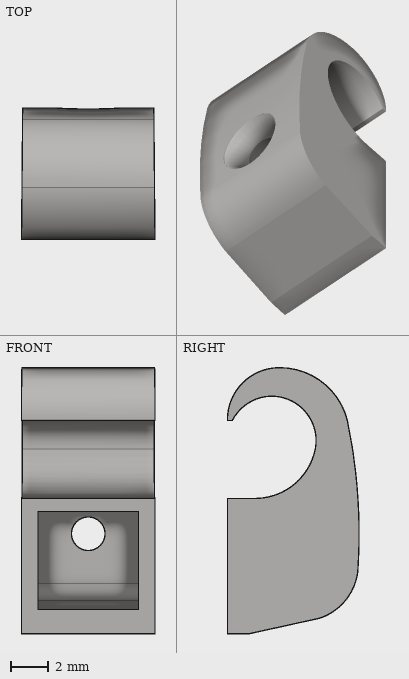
import cadquery as cq
import math

width = 7.2
height = 14.35
depth = 7.1
side_draft = 0.5

clearance = 0.15

base_flat = 1.16
base_slope_end = (4.95, 0.83)
heel_middle = (6.39, 1.82)
back_start = (7.03, 3.33)
back_fullest_height = 5.45

crown_back_radius = 3.77
crown_front_radius = 2.81
back_end_height = 11.48
tip_height = 11.5
tip_thickness = 0.27
throat_floor_height = 7.3
throat_floor_depth = 1.5
throat_lower_radius = 3.29
throat_joint_height = 9.97
throat_top = (2.44, 12.8)

pocket_width = 5.4
pocket_floor = 1.32
pocket_ceiling = 6.6
pocket_flat = 2.34
pocket_depth = 5.27
pocket_corner_radius = 0.95

hole_diameter = 1.8
head_diameter = 3.69
head_recess = 0.06
hole_height = 5.4


def arc_point(center, radius, angle):
    """Point on a circle in the YZ plane, with the angle in degrees from +Y."""
    turn = math.radians(angle)
    return center[0] + radius * math.cos(turn), center[1] + radius * math.sin(turn)


def hook_body():
    """Side profile of the hook, extruded across the full width."""
    crown = (crown_front_radius, height)
    back_center = (crown[0], height - crown_back_radius)
    front_center = (crown[0], height - crown_front_radius)
    back_end_angle = math.degrees(math.asin((back_end_height - back_center[1]) / crown_back_radius))
    back_end = arc_point(back_center, crown_back_radius, back_end_angle)
    crown_back_middle = arc_point(back_center, crown_back_radius, (back_end_angle + 90) / 2)

    throat_center = (throat_floor_depth, throat_floor_height + throat_lower_radius)
    joint_angle = math.degrees(math.asin((throat_joint_height - throat_center[1]) / throat_lower_radius))
    throat_joint = arc_point(throat_center, throat_lower_radius, joint_angle)
    throat_middle = arc_point(throat_center, throat_lower_radius, (joint_angle - 90) / 2)

    profile = (
        cq.Workplane("YZ")
        .moveTo(0, 0)
        .lineTo(base_flat, 0)
        .lineTo(*base_slope_end)
        .threePointArc(heel_middle, back_start)
        .threePointArc((depth, back_fullest_height), back_end)
        .threePointArc(crown_back_middle, crown)
        .threePointArc(arc_point(front_center, crown_front_radius, 135), (0, front_center[1]))
        .lineTo(0, tip_height)
        .lineTo(tip_thickness, tip_height)
        .threePointArc(throat_top, throat_joint)
        .threePointArc(throat_middle, (throat_floor_depth, throat_floor_height))
        .lineTo(0, throat_floor_height)
        .close()
    )
    return profile.extrude(width / 2, both=True)


def draft_envelope():
    """Block whose two sides lean inwards towards the back."""
    length = depth + clearance
    half_front = width / 2
    half_back = half_front - length * math.tan(math.radians(side_draft))
    return (
        cq.Workplane("XY")
        .polyline([(-half_front, 0), (half_front, 0), (half_back, length), (-half_back, length)])
        .close()
        .extrude(height)
    )


def pocket():
    """Front pocket whose floor rises parallel to the sloped base, then rounds into its back wall."""
    slope = base_slope_end[1] / (base_slope_end[0] - base_flat)
    corner_height = pocket_floor + slope * (pocket_depth - pocket_flat)
    cavity = (
        cq.Workplane("YZ")
        .polyline([
            (0, pocket_floor),
            (pocket_flat, pocket_floor),
            (pocket_depth, corner_height),
            (pocket_depth, pocket_ceiling),
            (0, pocket_ceiling),
        ])
        .close()
        .extrude(pocket_width / 2, both=True)
    )
    rear_floor_edge = cq.selectors.NearestToPointSelector((0, pocket_depth, corner_height))
    return cavity.edges("|X").edges(rear_floor_edge).fillet(pocket_corner_radius)


def screw_hole():
    """Straight hole along Y with a 90 degree countersink and a short straight recess at the back."""
    hole_radius = hole_diameter / 2
    head_radius = head_diameter / 2
    cone_end = depth - head_recess
    cone_start = cone_end - (head_radius - hole_radius)
    hole_end = depth + clearance
    hole_start = pocket_depth / 2
    return (
        cq.Workplane("XY")
        .polyline([
            (0, hole_start),
            (hole_radius, hole_start),
            (hole_radius, cone_start),
            (head_radius, cone_end),
            (head_radius, hole_end),
            (0, hole_end),
        ])
        .close()
        .revolve(360, (0, 0), (0, 1))
        .translate((0, 0, hole_height))
    )


result = hook_body().intersect(draft_envelope()).cut(pocket()).cut(screw_hole())